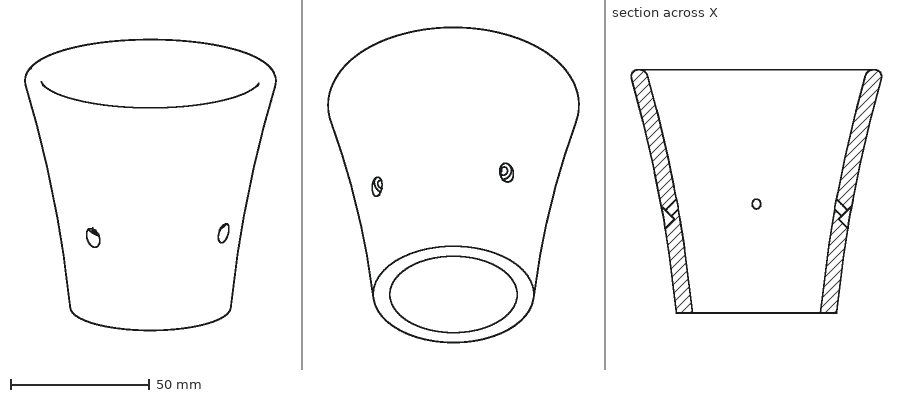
import cadquery as cq
import math

height = 88.0
base_radius = 29.1
middle_radius = 35.5
flare_radius = 46.2
wall = 6.0
outer_lip_fillet = 2.5
inner_lip_fillet = 3.0

hole_count = 4
hole_mouth_radius = 34.0
hole_mouth_height = 34.0
hole_tilt = 45.0
bore_diameter = 6.0
bore_depth = 3.0
through_diameter = bore_diameter / 2
through_depth = 2.5 * wall
outside_clearance = 9.1


def flare_solid():
    """Solid flared body bounded by the outer arc."""
    return (
        cq.Workplane("XZ")
        .lineTo(base_radius, 0)
        .threePointArc((middle_radius, height / 2), (flare_radius, height))
        .lineTo(0, height)
        .close()
        .revolve(360, (0, 0, 0), (0, 1, 0))
    )


def arc_centre():
    """Centre (radius, height) and radius of the arc of the outer wall."""
    half = height / 2
    low_rise = middle_radius - base_radius
    high_rise = flare_radius - middle_radius
    low = (low_rise**2 + half**2) / 2
    high = (high_rise**2 + half**2) / 2
    across = (low + high) / (high_rise - low_rise)
    above = (high - high_rise * across) / half
    radius = math.hypot(across, above)
    return middle_radius + across, half + above, radius


def cavity():
    """Inside of the cup, concentric with the outer arc."""
    centre_r, centre_z, outer_arc = arc_centre()
    inner_arc = outer_arc + wall

    def inner_radius(z):
        return centre_r - math.sqrt(inner_arc**2 - (z - centre_z) ** 2)

    return (
        cq.Workplane("XZ")
        .lineTo(inner_radius(0), 0)
        .threePointArc((inner_radius(height / 2), height / 2), (inner_radius(height), height))
        .lineTo(0, height)
        .close()
        .revolve(360, (0, 0, 0), (0, 1, 0))
    )


def stepped_hole():
    """Cutter entering the wall on the +X side, tilted up towards the axis."""
    tilt = math.radians(hole_tilt)
    mouth = cq.Vector(hole_mouth_radius, 0, hole_mouth_height)
    inward = cq.Vector(-math.cos(tilt), 0, math.sin(tilt))
    start = mouth - inward * outside_clearance
    bore = cq.Solid.makeCylinder(
        bore_diameter / 2, outside_clearance + bore_depth, start, inward
    )
    through = cq.Solid.makeCylinder(through_diameter / 2, through_depth, mouth, inward)
    return cq.Workplane(obj=bore).union(cq.Workplane(obj=through))


cup = flare_solid().cut(cavity())
outer_rim = max(cup.faces(">Z").edges().vals(), key=lambda edge: edge.Length())
cup = cup.newObject([outer_rim]).fillet(outer_lip_fillet)
inner_rim = min(cup.faces(">Z").edges().vals(), key=lambda edge: edge.Length())
cup = cup.newObject([inner_rim]).fillet(inner_lip_fillet)

for index in range(hole_count):
    angle = index * 360 / hole_count
    cup = cup.cut(stepped_hole().rotate((0, 0, 0), (0, 0, 1), angle))

result = cup